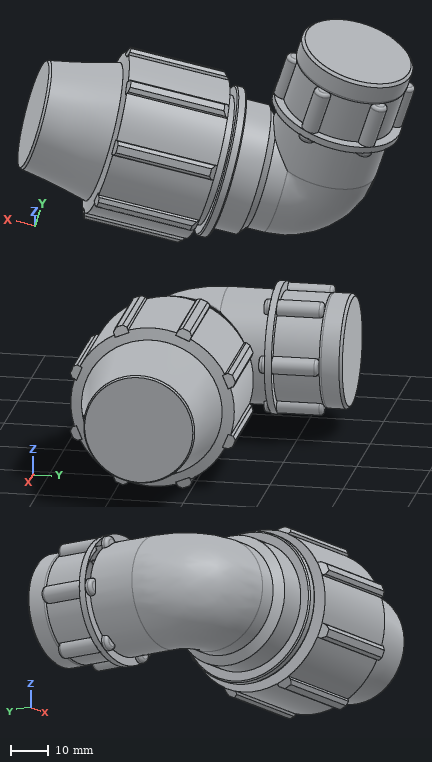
import cadquery as cq
import math


tube_radius = 31.3 / 2
bend_radius = 9.6

collar_radius = 36.0 / 2
collar_start = 23.2
collar_thickness = 1.9
grip_bar_radius = 2.4
grip_bar_count = 6
grip_bar_start = 21.5
grip_bar_end = 37.7
grip_bar_fillet = 1.0
rim_step = 0.2
rim_step_length = 0.6
rim_end = 44.0
rim_chamfer = 0.8

body_radius = 36.0 / 2
shoulder_start = 14.6
shoulder_length = 2.1
flange_radius = 41.8 / 2
flange_start = 24.3
flange_thickness = 2.7
flange_chamfer = 0.4

nut_radius = 22.4
nut_start = 29.5
nut_end = 57.7
nose_start_radius = 19.2
nose_start = 58.6
nose_middle_radius = 16.9
nose_middle = 68.2
nose_end_radius = 15.2
nose_chamfer = 0.4
nose_chamfer_length = 0.7
overall_length = 96.0
nose_end = overall_length - collar_radius

rib_count = 8
rib_top_radius = 24.0
rib_root_radius = 21.6
rib_width = 4.0
rib_chamfer = 1.0
rib_start_slope_length = 1.5


def make_bend():
    """Quarter bend, turned about the line X = Y = bend_radius, outer side only."""
    half_chord = math.sqrt(tube_radius**2 - bend_radius**2)
    return (
        cq.Workplane("XZ", origin=(0, bend_radius, 0))
        .moveTo(bend_radius, -half_chord)
        .threePointArc((-tube_radius, 0), (bend_radius, half_chord))
        .close()
        .revolve(90, (bend_radius, 0), (bend_radius, 1))
    )


def make_socket_branch():
    """Socket tube with its stepped rim, collar and round grip bars."""
    grip_radius = tube_radius - rim_step
    branch = (
        cq.Workplane("XY")
        .moveTo(0, bend_radius)
        .lineTo(tube_radius, bend_radius)
        .lineTo(tube_radius, collar_start)
        .lineTo(collar_radius, collar_start)
        .lineTo(collar_radius, collar_start + collar_thickness)
        .lineTo(grip_radius, collar_start + collar_thickness)
        .lineTo(grip_radius, grip_bar_end)
        .lineTo(tube_radius, grip_bar_end + rim_step_length)
        .lineTo(tube_radius, rim_end - rim_chamfer)
        .lineTo(tube_radius - rim_chamfer, rim_end)
        .lineTo(0, rim_end)
        .close()
        .revolve(360, (0, 0), (0, 1))
    )
    bar_circle_radius = collar_radius - grip_bar_radius
    bars = (
        cq.Workplane("XZ", origin=(0, grip_bar_start, 0))
        .polarArray(bar_circle_radius, 0, 360, grip_bar_count)
        .circle(grip_bar_radius)
        .extrude(grip_bar_start - grip_bar_end)
        .faces("<Y or >Y")
        .fillet(grip_bar_fillet)
    )
    return branch.union(bars)


def make_pipe_branch():
    """Tube, shoulder, flange and nut with its tapering nose, turned about X."""
    flange_end = flange_start + flange_thickness
    flange_edge_radius = flange_radius - flange_chamfer
    return (
        cq.Workplane("XY")
        .moveTo(bend_radius, 0)
        .lineTo(bend_radius, tube_radius)
        .lineTo(shoulder_start, tube_radius)
        .lineTo(shoulder_start + shoulder_length, body_radius)
        .lineTo(flange_start, body_radius)
        .lineTo(flange_start, flange_edge_radius)
        .lineTo(flange_start + flange_chamfer, flange_radius)
        .lineTo(flange_end - flange_chamfer, flange_radius)
        .lineTo(flange_end, flange_edge_radius)
        .lineTo(flange_end, body_radius)
        .lineTo(nut_start, body_radius)
        .lineTo(nut_start, nut_radius)
        .lineTo(nut_end, nut_radius)
        .lineTo(nose_start, nose_start_radius)
        .threePointArc((nose_middle, nose_middle_radius), (nose_end - nose_chamfer_length, nose_end_radius))
        .lineTo(nose_end, nose_end_radius - nose_chamfer)
        .lineTo(nose_end, 0)
        .close()
        .revolve(360, (0, 0), (1, 0))
    )


def make_nut_rib():
    """One rib on the +Z side of the nut, chamfered along its top and sloping at both ends."""
    half_width = rib_width / 2
    half_top_width = half_width - rib_chamfer
    chamfer_bottom = rib_top_radius - rib_chamfer
    cross_section = (
        cq.Workplane("YZ", origin=(nut_start, 0, 0))
        .polyline([
            (-half_width, rib_root_radius),
            (-half_width, chamfer_bottom),
            (-half_top_width, rib_top_radius),
            (half_top_width, rib_top_radius),
            (half_width, chamfer_bottom),
            (half_width, rib_root_radius),
        ])
        .close()
        .extrude(nose_start - nut_start)
    )
    cone_slope = (nose_start - nut_end) / (nut_radius - nose_start_radius)
    top_end = nut_end - cone_slope * (rib_top_radius - nut_radius)
    root_end = nut_end + cone_slope * (nut_radius - rib_root_radius)
    side_outline = (
        cq.Workplane("XZ")
        .polyline([
            (nut_start, rib_root_radius),
            (nut_start, nut_radius),
            (nut_start + rib_start_slope_length, rib_top_radius),
            (top_end, rib_top_radius),
            (root_end, rib_root_radius),
        ])
        .close()
        .extrude(half_width, both=True)
    )
    return cross_section.intersect(side_outline)


result = make_bend().union(make_socket_branch()).union(make_pipe_branch())

rib = make_nut_rib()
rib_pitch = 360 / rib_count
for index in range(rib_count):
    angle = (index + 0.5) * rib_pitch
    result = result.union(rib.rotate((0, 0, 0), (1, 0, 0), angle))